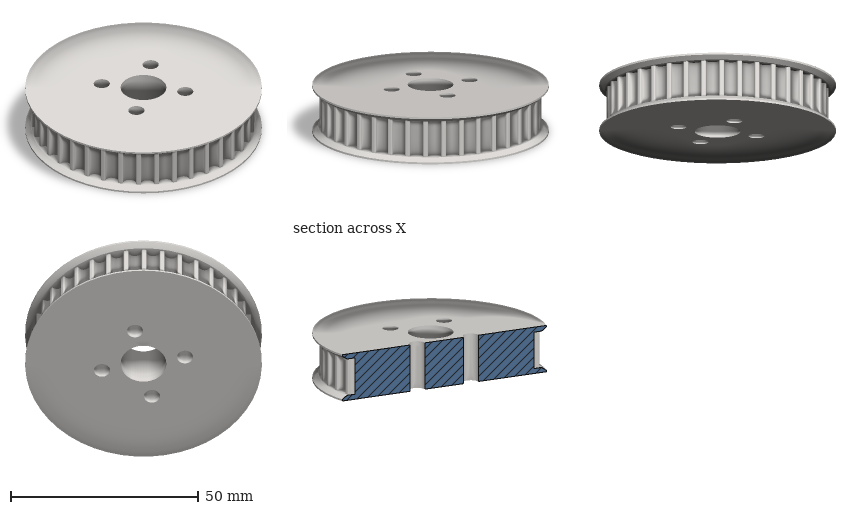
import cadquery as cq
import math

outer_diameter = 63.2
total_height = 13.0
belt_width = 10.0
rim_thickness = 0.5
flange_root_diameter = 60.3

tooth_diameter = 59.35
tooth_count = 38
groove_depth = 2.0
floor_width = 0.6
corner_radius = 1.45
lip_radius = 0.41

bore_diameter = 12.2
bolt_diameter = 4.3
bolt_spacing = 16.0

half_height = total_height / 2
half_belt = belt_width / 2
tooth_pitch_angle = 360 / tooth_count


def make_blank():
    """Revolve the core and its two tapered flanges, symmetric about the XY plane."""
    rim_radius = outer_diameter / 2
    upper_side = [
        (tooth_diameter / 2, half_belt),
        (flange_root_diameter / 2, half_belt),
        (rim_radius, half_height - rim_thickness),
        (rim_radius, half_height),
    ]
    lower_side = [(radius, -z) for radius, z in reversed(upper_side)]
    outline = [(0, half_height), (0, -half_height)] + lower_side + upper_side
    return cq.Workplane("XZ").polyline(outline).close().revolve(360, (0, 0), (0, 1))


def make_groove_cutter():
    """Groove on the +X axis: flat floor, rounded corners, parallel walls and rounded lips."""
    tip_radius = tooth_diameter / 2
    floor_x = tip_radius - groove_depth
    floor_y = floor_width / 2
    wall_x = floor_x + corner_radius
    wall_y = floor_y + corner_radius
    corner_mid_x = wall_x - corner_radius * math.sqrt(0.5)
    corner_mid_y = floor_y + corner_radius * math.sqrt(0.5)

    lip_center_y = wall_y + lip_radius
    lip_angle = math.asin(lip_center_y / (tip_radius - lip_radius))
    lip_x = (tip_radius - lip_radius) * math.cos(lip_angle)
    mouth_x = tip_radius * math.cos(lip_angle)
    mouth_y = tip_radius * math.sin(lip_angle)
    lip_mid_angle = (lip_angle - math.pi / 2) / 2
    lip_mid_x = lip_x + lip_radius * math.cos(lip_mid_angle)
    lip_mid_y = lip_center_y + lip_radius * math.sin(lip_mid_angle)

    return (
        cq.Workplane("XY", origin=(0, 0, -half_belt))
        .moveTo(floor_x, -floor_y)
        .lineTo(floor_x, floor_y)
        .threePointArc((corner_mid_x, corner_mid_y), (wall_x, wall_y))
        .lineTo(lip_x, wall_y)
        .threePointArc((lip_mid_x, lip_mid_y), (mouth_x, mouth_y))
        .threePointArc((tip_radius, 0), (mouth_x, -mouth_y))
        .threePointArc((lip_mid_x, -lip_mid_y), (lip_x, -wall_y))
        .lineTo(wall_x, -wall_y)
        .threePointArc((corner_mid_x, -corner_mid_y), (floor_x, -floor_y))
        .close()
        .extrude(belt_width)
    )


def cut_grooves(body):
    """Cut all grooves, leaving a tooth centred on the +X axis."""
    groove = make_groove_cutter()
    axis_start, axis_end = (0, 0, 0), (0, 0, 1)
    cutters = [
        groove.rotate(axis_start, axis_end, (index + 0.5) * tooth_pitch_angle).val()
        for index in range(tooth_count)
    ]
    return body.cut(cq.Workplane(cq.Compound.makeCompound(cutters)))


def cut_holes(body):
    """Drill the central bore and the square pattern of four bolt holes through the part."""
    bored = body.faces(">Z").workplane().hole(bore_diameter)
    return (
        bored.faces(">Z")
        .workplane()
        .rect(bolt_spacing, bolt_spacing, forConstruction=True)
        .vertices()
        .hole(bolt_diameter)
    )


result = cut_holes(cut_grooves(make_blank()))